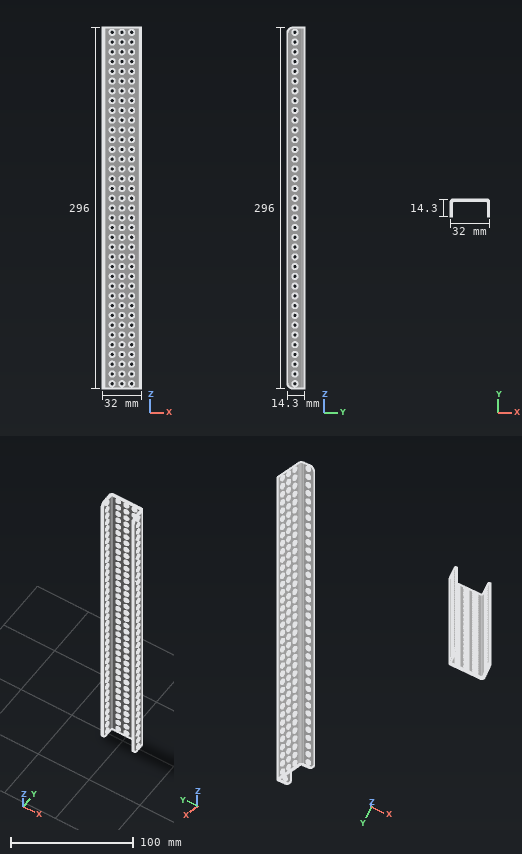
import cadquery as cq

length = 296.0
row_count = 37
pitch = length / row_count
web_column_count = 3
hole_diameter = 4.0
flange_hole_inset = pitch

thickness = 1.6
inner_bend_radius = 0.8
bend_radius = inner_bend_radius + thickness
corner_radius = 4.7

width = (web_column_count + 1) * pitch
flange_height = 12.7
depth = flange_height + thickness

back_y = depth / 2
flange_hole_y = back_y - flange_hole_inset


def make_channel():
    """Bent U section, open toward -Y, extruded along Z and centred on the origin."""
    outer = (
        cq.Workplane("XY")
        .box(width, depth, length)
        .edges("|Z and >Y")
        .fillet(bend_radius)
    )
    inner = (
        cq.Workplane("XY")
        .box(width - 2 * thickness, depth, length)
        .translate((0, -thickness, 0))
        .edges("|Z and >Y")
        .fillet(inner_bend_radius)
    )
    return outer.cut(inner)


def round_flange_corners(channel):
    """Round the four free corners of the two flanges."""
    return channel.edges("|X and <Y").edges("<Z or >Z").fillet(corner_radius)


def web_holes():
    """Grid of drills through the web, along Y."""
    return (
        cq.Workplane("XZ", origin=(0, back_y, 0))
        .rarray(pitch, pitch, web_column_count, row_count)
        .circle(hole_diameter / 2)
        .extrude(2 * thickness, both=True)
    )


def flange_holes():
    """One row of drills along X, each passing through both flanges."""
    return (
        cq.Workplane("YZ", origin=(0, flange_hole_y, 0))
        .rarray(pitch, pitch, 1, row_count)
        .circle(hole_diameter / 2)
        .extrude(width, both=True)
    )


result = round_flange_corners(make_channel()).cut(web_holes()).cut(flange_holes())